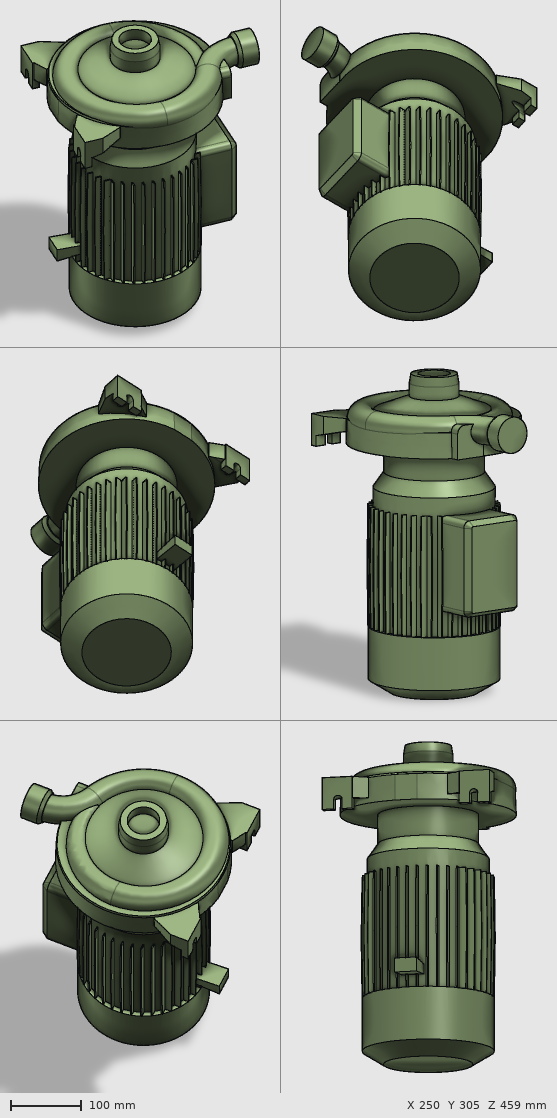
import cadquery as cq
import math


total_height = 459.0
base_radius = 93.5
base_bottom_radius = 63.5
base_chamfer_height = 19.0
base_top = 95.0
fins_top = 270.0
core_radius = 86.8
shoulder_bottom = 295.5
neck_bottom = 317.0
neck_radius = 71.5

fin_count = 40
fin_pitch = 360 / fin_count
fin_thickness = 2.0
fin_end_radius = base_radius
fin_bulge = 1.5

box_width = 95.5
box_outer_y = 138.0
box_bottom = 131.0
box_corner_radius = 9.5
box_bevel_depth = 9.5
box_bevel_inset = 7.0

foot_face_y = -125.5
support_width = 32.0
support_outer_height = 20.0
support_inner_height = 13.8
support_middle_z = 121.0
support_overlap = 4.5

disc_bottom = 359.5
disc_split_z = 396.5
disc_top = 399.5
disc_diameter = 250.0
disc_bottom_radius = disc_diameter / 2
disc_split_radius = 124.0
disc_top_radius = 122.5
front_flat_half_width = 16.0

cone_slope = 0.38
nozzle_bottom = 426.5
nozzle_radius = 35.5
nozzle_tip_radius = 33.0
nozzle_chamfer_bottom = 445.5
inlet_radius = 23.0
inlet_depth = 18.0
cone_base_radius = 92.0

tube_radius = 20.0
tail_end_radius = 13.8
volute_right_x = 104.0
volute_left_x = -93.5
outlet_joint_x = 40.5
outlet_joint_y = 95.0
tail_end_angle = 72
collar_radius = 26.0
collar_end_y = 179.5
collar_length = 25.0
collar_chamfer_length = 5.5
collar_neck_radius = 22.0

foot_outer_x = 122.5
foot_inner_x = 78.5
foot_web_y = -123.0
foot_web_end = (58.0, -112.0)
foot_side_y = -97.8
foot_back = (107.5, -65.0)
foot_center = (73.5, -65.0)
foot_lip_y = -114.8
foot_bottom = 350.5
foot_web_bottom_front = 366.5
foot_web_bottom_back = 377.8
slot_x = 99.5
slot_radius = 6.0
slot_top = 370.0

lug_left_x = 9.0
lug_right_x = 56.0
lug_front_y = 107.0
lug_back_y = 125.0
lug_top = 408.0
lug_fillet = 11.5


def revolve_profile(points):
    """Solid of revolution about Z from a closed (radius, z) outline."""
    return cq.Workplane("XZ").polyline(points).close().revolve(360, (0, 0), (0, 1))


def make_body():
    cone_drop = (cone_base_radius - nozzle_radius) * cone_slope
    return revolve_profile([
        (0, 0),
        (base_bottom_radius, 0),
        (base_radius, base_chamfer_height),
        (base_radius, base_top),
        (core_radius, base_top),
        (core_radius, shoulder_bottom),
        (neck_radius, neck_bottom),
        (neck_radius, disc_bottom),
        (disc_bottom_radius, disc_bottom),
        (disc_split_radius, disc_split_z),
        (disc_top_radius, disc_top),
        (cone_base_radius, disc_top),
        (cone_base_radius, nozzle_bottom - cone_drop),
        (nozzle_radius, nozzle_bottom),
        (nozzle_radius, nozzle_chamfer_bottom),
        (nozzle_tip_radius, total_height),
        (inlet_radius, total_height),
        (inlet_radius, total_height - inlet_depth),
        (0, total_height - inlet_depth),
    ])


def make_fin_plate(angle):
    """Plate through the core, parallel to YZ, whose two square tips bulge at mid height."""
    offset = fin_end_radius * math.sin(math.radians(angle))
    reach = fin_end_radius * math.cos(math.radians(angle))
    middle_z = (base_top + fins_top) / 2
    return (
        cq.Workplane("YZ", origin=(offset - fin_thickness / 2, 0, 0))
        .polyline([
            (-reach, base_top),
            (reach, base_top),
            (reach + fin_bulge, middle_z),
            (reach, fins_top),
            (-reach, fins_top),
            (-reach - fin_bulge, middle_z),
        ])
        .close()
        .extrude(fin_thickness)
    )


def make_fins():
    """Fins on all four sides: one set of plates parallel to YZ and one parallel to XZ."""
    fins_per_side = fin_count // 4
    fins = cq.Workplane("XY")
    for index in range(fins_per_side):
        angle = (index - (fins_per_side - 1) / 2) * fin_pitch
        plate = make_fin_plate(angle)
        crossing_plate = plate.rotate((0, 0, 0), (0, 0, 1), 90)
        fins = fins.add(plate).add(crossing_plate)
    return fins.combine()


def make_terminal_box():
    """Box with rounded upright corners and a bevelled outer face."""
    height = fins_top - box_bottom
    straight_end_y = box_outer_y - box_bevel_depth
    middle_z = (fins_top + box_bottom) / 2

    def box_outline(inset):
        outline = cq.Sketch().rect(box_width - 2 * inset, height - 2 * inset)
        return outline.vertices().fillet(box_corner_radius - inset)

    start = box_outline(0)
    end = box_outline(box_bevel_inset).moved(cq.Location(cq.Vector(0, 0, -box_bevel_depth)))
    block = (
        cq.Workplane("XZ", origin=(0, 0, middle_z))
        .placeSketch(start)
        .extrude(-straight_end_y)
    )
    bevel = (
        cq.Workplane("XZ", origin=(0, straight_end_y, middle_z))
        .placeSketch(start, end)
        .loft()
    )
    return block.union(bevel)


def make_support():
    return (
        cq.Workplane("YZ", origin=(-support_width / 2, 0, support_middle_z))
        .polyline([
            (foot_face_y, -support_outer_height / 2),
            (-core_radius + support_overlap, -support_inner_height / 2),
            (-core_radius + support_overlap, support_inner_height / 2),
            (foot_face_y, support_outer_height / 2),
        ])
        .close()
        .extrude(support_width)
    )


def make_foot():
    """Left-hand mounting foot: a web with a sloping underside and a slotted lip."""
    plan = [
        (-foot_outer_x, foot_face_y),
        (-foot_inner_x, foot_face_y),
        (-foot_inner_x, foot_web_y),
        (-foot_web_end[0], foot_web_end[1]),
        (-foot_center[0], foot_center[1]),
        (-foot_back[0], foot_back[1]),
        (-foot_outer_x, foot_side_y),
    ]
    foot = (
        cq.Workplane("XY", origin=(0, 0, foot_bottom))
        .polyline(plan)
        .close()
        .extrude(disc_split_z - foot_bottom)
    )
    web_profile = (
        cq.Workplane("YZ", origin=(-foot_outer_x, 0, 0))
        .polyline([
            (foot_face_y, foot_web_bottom_front),
            (foot_lip_y, foot_web_bottom_front),
            (foot_back[1], foot_web_bottom_back),
            (foot_back[1], disc_split_z),
            (foot_face_y, disc_split_z),
        ])
        .close()
        .extrude(foot_outer_x)
    )
    lip = (
        cq.Workplane("XY", origin=(-foot_outer_x, foot_face_y, foot_bottom))
        .box(
            foot_outer_x - foot_inner_x,
            foot_lip_y - foot_face_y,
            disc_split_z - foot_bottom,
            centered=False,
        )
    )
    arc_center_z = slot_top - slot_radius
    slot = (
        cq.Workplane("XZ", origin=(-slot_x, foot_back[1], 0))
        .moveTo(-slot_radius, foot_bottom)
        .lineTo(-slot_radius, arc_center_z)
        .threePointArc((0, slot_top), (slot_radius, arc_center_z))
        .lineTo(slot_radius, foot_bottom)
        .close()
        .extrude(foot_back[1] - foot_face_y)
    )
    return foot.intersect(web_profile).union(lip).cut(slot)


def arc_point(center, radius, degrees):
    angle = math.radians(degrees)
    return (center[0] + radius * math.cos(angle), center[1] + radius * math.sin(angle))


def make_volute():
    plane = cq.Workplane("XY", origin=(0, 0, disc_split_z))

    half_center = ((volute_left_x + volute_right_x) / 2, 0)
    half_radius = (volute_right_x - volute_left_x) / 2
    half_bottom = arc_point(half_center, half_radius, -90)

    rise_center_x = (
        (volute_right_x**2 - outlet_joint_x**2 - outlet_joint_y**2)
        / (2 * (volute_right_x - outlet_joint_x))
    )
    rise_radius = volute_right_x - rise_center_x
    joint_angle = math.degrees(math.atan2(outlet_joint_y, outlet_joint_x - rise_center_x))
    rise_middle = arc_point((rise_center_x, 0), rise_radius, joint_angle / 2)

    bend_radius = outlet_joint_x / (1 - math.cos(math.radians(joint_angle)))
    bend_center = arc_point((outlet_joint_x, outlet_joint_y), bend_radius, joint_angle)
    bend_middle = arc_point(bend_center, bend_radius, 180 + joint_angle / 2)
    bend_end = (0, bend_center[1])

    path = (
        plane.moveTo(volute_left_x, 0)
        .threePointArc(half_bottom, (volute_right_x, 0))
        .threePointArc(rise_middle, (outlet_joint_x, outlet_joint_y))
        .threePointArc(bend_middle, bend_end)
    )
    tube_start = cq.Workplane("XZ", origin=(volute_left_x, 0, disc_split_z))
    tube = tube_start.circle(tube_radius).sweep(path)

    tail_radius = -volute_left_x
    tail_end = arc_point((0, 0), tail_radius, tail_end_angle)
    tail_middle = arc_point((0, 0), tail_radius, (180 + tail_end_angle) / 2)
    tail_path = plane.moveTo(volute_left_x, 0).threePointArc(tail_middle, tail_end)
    end_angle = math.radians(tail_end_angle)
    end_plane = cq.Plane(
        origin=(tail_end[0], tail_end[1], disc_split_z),
        xDir=(-math.cos(end_angle), -math.sin(end_angle), 0),
        normal=(math.sin(end_angle), -math.cos(end_angle), 0),
    )
    start_plane = cq.Plane(origin=(volute_left_x, 0, disc_split_z), xDir=(1, 0, 0), normal=(0, 1, 0))
    end_wire = cq.Workplane(end_plane).circle(tail_end_radius).wire().val()
    tail = (
        cq.Workplane(start_plane)
        .circle(tube_radius)
        .add(end_wire)
        .toPending()
        .sweep(tail_path, multisection=True)
    )
    return tube.union(tail)


def make_collar():
    collar_start_y = collar_end_y - collar_length
    neck_y = collar_start_y - collar_chamfer_length
    return (
        cq.Workplane("XY", origin=(0, 0, disc_split_z))
        .polyline([
            (0, neck_y),
            (collar_neck_radius, neck_y),
            (collar_radius, collar_start_y),
            (collar_radius, collar_end_y),
            (0, collar_end_y),
        ])
        .close()
        .revolve(360, (0, 0), (0, 1))
    )


def make_lug():
    return (
        cq.Workplane("XY", origin=(lug_left_x, lug_front_y, disc_bottom))
        .box(lug_right_x - lug_left_x, lug_back_y - lug_front_y, lug_top - disc_bottom, centered=False)
        .edges(">X and >Z")
        .fillet(lug_fillet)
    )


def make_flat_cutter():
    """Wedge that leaves a flat of constant width on the drafted front of the disc."""
    bottom_y = -math.sqrt(disc_bottom_radius**2 - front_flat_half_width**2)
    split_y = -math.sqrt(disc_split_radius**2 - front_flat_half_width**2)
    return (
        cq.Workplane("YZ", origin=(-disc_bottom_radius, 0, 0))
        .polyline([
            (-disc_bottom_radius, disc_bottom),
            (bottom_y, disc_bottom),
            (split_y, disc_split_z),
            (-disc_bottom_radius, disc_split_z),
        ])
        .close()
        .extrude(2 * disc_bottom_radius)
    )


left_foot = make_foot()
result = (
    make_body()
    .cut(make_flat_cutter())
    .union(make_fins())
    .union(make_terminal_box())
    .union(make_support())
    .union(left_foot)
    .union(left_foot.mirror("YZ"))
    .union(make_volute())
    .union(make_collar())
    .union(make_lug())
)